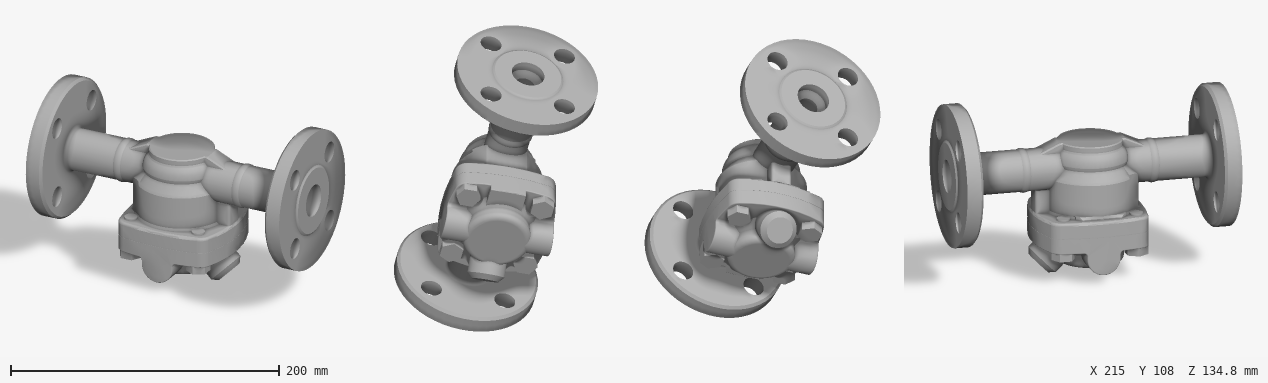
import cadquery as cq
import math

OVERALL_LENGTH = 215.0
HALF_LENGTH = OVERALL_LENGTH / 2

PIPE_RADIUS = 16.0
BEAD_OFFSET = 49.7
BEAD_WIDTH = 6.0
BEAD_HEIGHT = 0.8

FLANGE_DIAMETER = 108.0
FLANGE_THICKNESS = 14.2
FLANGE_CHAMFER = 2.0
RAISED_FACE_HEIGHT = 1.2
RAISED_FACE_RADIUS = 25.4
RAISED_FACE_BASE_RADIUS = 27.2
FLANGE_NECK_FILLET = 2.5
FLANGE_BOLT_CIRCLE = 79.4
FLANGE_HOLE_DIAMETER = 16.0

SOCKET_RADIUS = 12.5
SOCKET_DEPTH = 7.5
BORE_RADIUS = 7.5
BORE_CONE_LENGTH = 4.0
BORE_DEPTH = 60.0

AXIS_X = -3.0
CAP_TOP = 21.1
CAP_RADIUS = 24.8
CAP_ROUND = 0.8
CAP_FOOT = 16.5
COLLAR_TOP_RADIUS = 25.6
COLLAR_TOP = 15.2
COLLAR_RADIUS = 29.4
COLLAR_FOOT = 5.8
NECK_RADIUS = 28.6
NECK_Z = 3.0
SHOULDER_TOP = -4.1
SHOULDER_BOTTOM = -6.0
SHOULDER_ROUND = 1.0
BODY_RADIUS = 34.2
BODY_FOOT_FLARE = 1.6
INLET_NOSE_RADIUS = 36.4
INLET_NOSE_ANGLE = 90.0

TAB_REACH = 41.8
TAB_START = 25.4
TAB_WIDTH = 17.0
TAB_CHAMFER = 1.0
TAB_TIP_Z = 13.6

PLATE_TOP = -32.3
PLATE_SPLIT = -44.2
PLATE_BOTTOM = -56.3
PLATE_TOP_FILLET = 2.0
PLATE_CORNER_FILLET = 9.5
PLATE_HALF_DEPTH = 41.5
PLATE_LEFT = -42.9
PLATE_RIGHT = 42.3
CORNER_LEFT_X = -38.8
CORNER_RIGHT_X = 34.0
CORNER_Y = 36.9
GASKET_THICKNESS = 0.7
GASKET_INSET = 0.15

BOTTOM = -74.0
SUMP_RADIUS = 25.4
SUMP_FILLET = 4.5
SUMP_ROOT_RADIUS = 30.0
SUMP_ROOT_BOTTOM = -63.5
LOBE_RADIUS = 12.9
LOBE_ROOT_FILLET = 2.5
LUG_WIDTH = 27.0
LUG_BOTTOM = -61.6
COVER_EDGE_FILLET = 0.8

STUD_CIRCLE = 80.0
STUD_DIAMETER = 10.0
STUD_HEIGHT = 1.5
HEAD_ACROSS_FLATS = 16.0
HEAD_HEIGHT = 6.5
HEAD_CLEARANCE_RADIUS = 12.7

PLUG_RADIUS = 14.0
PLUG_CHAMFER = 4.0
PLUG_ANGLE = 45.0
PLUG_END_X = 36.7
LOWEST_POINT = -80.77
PLUG_LENGTH = 36.0

OUTLET_RIB_END = 41.0
OUTLET_RIB_WIDTH = 15.6
OUTLET_RIB_TOP = -15.0
OUTLET_RIB_FILLET = 2.0

BACK_PAD_Y = 35.6
BACK_PAD_HALF_WIDTH = 15.2
BACK_PAD_BEVEL = 4.2
BACK_PAD_TOP = -29.8
BACK_PAD_CHAMFER = 1.7


def revolve_about_x(outline):
    return outline.close().revolve(360, (0, 0, 0), (1, 0, 0))


def pipe_with_flange():
    """Outlet half (+X): pipe, weld bead, flange with raised face."""
    flange_back = HALF_LENGTH - FLANGE_THICKNESS
    flange_front = HALF_LENGTH - RAISED_FACE_HEIGHT
    flange_radius = FLANGE_DIAMETER / 2
    root = FLANGE_NECK_FILLET
    round_offset = root * (1 - math.sqrt(0.5))
    outline = (
        cq.Workplane("XZ")
        .moveTo(0, 0)
        .lineTo(0, PIPE_RADIUS)
        .lineTo(BEAD_OFFSET - BEAD_WIDTH / 2, PIPE_RADIUS)
        .threePointArc((BEAD_OFFSET, PIPE_RADIUS + BEAD_HEIGHT), (BEAD_OFFSET + BEAD_WIDTH / 2, PIPE_RADIUS))
        .lineTo(flange_back - root, PIPE_RADIUS)
        .threePointArc(
            (flange_back - round_offset, PIPE_RADIUS + round_offset),
            (flange_back, PIPE_RADIUS + root),
        )
        .lineTo(flange_back, flange_radius - FLANGE_CHAMFER)
        .lineTo(flange_back + FLANGE_CHAMFER, flange_radius)
        .lineTo(flange_front, flange_radius)
        .lineTo(flange_front, RAISED_FACE_BASE_RADIUS)
        .lineTo(HALF_LENGTH, RAISED_FACE_RADIUS)
        .lineTo(HALF_LENGTH, 0)
    )
    bolt_spacing = FLANGE_BOLT_CIRCLE / math.sqrt(2)
    holes = (
        cq.Workplane("YZ", origin=(flange_back, 0, 0))
        .rect(bolt_spacing, bolt_spacing, forConstruction=True)
        .vertices()
        .circle(FLANGE_HOLE_DIAMETER / 2)
        .extrude(FLANGE_THICKNESS)
    )
    return revolve_about_x(outline).cut(holes)


def socket_bore():
    """Stepped bore entering from the +X end."""
    cone_start = HALF_LENGTH - SOCKET_DEPTH
    return revolve_about_x(
        cq.Workplane("XZ")
        .moveTo(HALF_LENGTH, 0)
        .lineTo(HALF_LENGTH, SOCKET_RADIUS)
        .lineTo(cone_start, SOCKET_RADIUS)
        .lineTo(cone_start - BORE_CONE_LENGTH, BORE_RADIUS)
        .lineTo(HALF_LENGTH - BORE_DEPTH, BORE_RADIUS)
        .lineTo(HALF_LENGTH - BORE_DEPTH, 0)
    )


def both_ends(outlet_half):
    return outlet_half.union(outlet_half.mirror("YZ"))


def body_shell(radius, angle):
    """Body of revolution: cap, collar, shoulder and barrel of the given radius."""
    collar_rise = COLLAR_TOP - COLLAR_FOOT
    collar_step = COLLAR_RADIUS - COLLAR_TOP_RADIUS
    collar_arc = (collar_rise**2 + collar_step**2) / (2 * collar_step)
    half_sweep = math.asin(collar_rise / collar_arc) / 2
    collar_mid = (
        COLLAR_RADIUS - collar_arc * (1 - math.cos(half_sweep)),
        COLLAR_FOOT + collar_arc * math.sin(half_sweep),
    )
    outline = (
        cq.Workplane("XZ")
        .moveTo(0, CAP_TOP)
        .lineTo(CAP_RADIUS - CAP_ROUND, CAP_TOP)
        .lineTo(CAP_RADIUS, CAP_TOP - CAP_ROUND)
        .lineTo(CAP_RADIUS, CAP_FOOT)
        .lineTo(COLLAR_TOP_RADIUS, COLLAR_TOP)
        .threePointArc(collar_mid, (COLLAR_RADIUS, COLLAR_FOOT))
        .lineTo(NECK_RADIUS, NECK_Z)
        .lineTo(radius - SHOULDER_ROUND, SHOULDER_TOP)
        .tangentArcPoint((radius, SHOULDER_BOTTOM), relative=False)
        .lineTo(radius, PLATE_TOP + BODY_FOOT_FLARE)
        .lineTo(radius + BODY_FOOT_FLARE, PLATE_TOP)
        .lineTo(0, PLATE_TOP)
        .close()
    )
    return outline.revolve(angle, (0, 0, 0), (0, 1, 0))


def body():
    """Round body with a nose toward the inlet, bounded by two flats tangent to the barrel."""
    height = CAP_TOP - PLATE_TOP
    flats = (
        cq.Workplane("XY", origin=(0, 0, PLATE_TOP))
        .rect(2 * BODY_RADIUS, 2 * BODY_RADIUS)
        .extrude(height)
        .rotate((0, 0, 0), (0, 0, 1), INLET_NOSE_ANGLE / 2)
    )
    inlet_nose = (
        body_shell(INLET_NOSE_RADIUS, INLET_NOSE_ANGLE)
        .rotate((0, 0, 0), (0, 0, 1), 180 - INLET_NOSE_ANGLE / 2)
        .intersect(flats)
    )
    shell = body_shell(BODY_RADIUS, 360).union(inlet_nose)
    return shell.translate((AXIS_X, 0, 0))


def tabs():
    """Wedges running from the cap down onto the pipe, on both sides of the body."""
    slope = (CAP_TOP - TAB_TIP_Z) / (TAB_REACH - TAB_START)
    root_x = TAB_START + CAP_TOP / slope
    return (
        cq.Workplane("XZ", origin=(AXIS_X, TAB_WIDTH / 2, 0))
        .polyline([(-root_x, 0), (-TAB_START, CAP_TOP), (TAB_START, CAP_TOP), (root_x, 0)])
        .close()
        .extrude(TAB_WIDTH)
        .edges("#Y")
        .chamfer(TAB_CHAMFER)
    )


def plate_prism(bottom, top, inset=0.0):
    """Four bulging sides with rounded corners; the outlet side bulges most."""
    left_x = CORNER_LEFT_X + inset
    right_x = CORNER_RIGHT_X - inset
    corner_y = CORNER_Y - inset
    half_depth = PLATE_HALF_DEPTH - inset
    return (
        cq.Workplane("XY", origin=(0, 0, bottom))
        .moveTo(left_x, -corner_y)
        .threePointArc((AXIS_X, -half_depth), (right_x, -corner_y))
        .threePointArc((PLATE_RIGHT - inset, 0), (right_x, corner_y))
        .threePointArc((AXIS_X, half_depth), (left_x, corner_y))
        .threePointArc((PLATE_LEFT + inset, 0), (left_x, -corner_y))
        .close()
        .extrude(top - bottom)
        .edges("|Z")
        .fillet(PLATE_CORNER_FILLET)
    )


def body_flange():
    """Upper plate with a slightly recessed gasket under it."""
    gasket_top = PLATE_SPLIT + GASKET_THICKNESS / 2
    gasket_bottom = PLATE_SPLIT - GASKET_THICKNESS / 2
    gasket = plate_prism(gasket_bottom, gasket_top, GASKET_INSET)
    flange = plate_prism(gasket_top, PLATE_TOP).faces(">Z").edges().fillet(PLATE_TOP_FILLET)
    return flange.union(gasket)


def lobe_section():
    """Plate underside with a round-bottomed lobe blended into it, running along Y."""
    lobe_center = BOTTOM + LOBE_RADIUS
    blend = LOBE_ROOT_FILLET
    blend_offset = blend * (1 - math.sqrt(0.5))
    half_span = HALF_LENGTH
    return (
        cq.Workplane("XZ", origin=(AXIS_X, half_span, 0))
        .moveTo(-half_span, PLATE_SPLIT)
        .lineTo(-half_span, PLATE_BOTTOM)
        .lineTo(-LOBE_RADIUS - blend, PLATE_BOTTOM)
        .threePointArc(
            (-LOBE_RADIUS - blend_offset, PLATE_BOTTOM - blend_offset),
            (-LOBE_RADIUS, PLATE_BOTTOM - blend),
        )
        .lineTo(-LOBE_RADIUS, lobe_center)
        .threePointArc((0, BOTTOM), (LOBE_RADIUS, lobe_center))
        .lineTo(LOBE_RADIUS, PLATE_BOTTOM - blend)
        .threePointArc(
            (LOBE_RADIUS + blend_offset, PLATE_BOTTOM - blend_offset),
            (LOBE_RADIUS + blend, PLATE_BOTTOM),
        )
        .lineTo(half_span, PLATE_BOTTOM)
        .lineTo(half_span, PLATE_SPLIT)
        .close()
        .extrude(2 * half_span)
    )


def head_clearances():
    """Cylinders around the bolt heads that cut into the flared root of the sump."""
    spacing = STUD_CIRCLE / math.sqrt(2)
    return (
        cq.Workplane("XY", origin=(AXIS_X, 0, PLATE_BOTTOM))
        .rect(spacing, spacing, forConstruction=True)
        .vertices()
        .circle(HEAD_CLEARANCE_RADIUS)
        .extrude(BOTTOM - PLATE_BOTTOM)
    )


def cover():
    """Lower plate with the lobe, the round sump and the inlet side lug under it."""
    sump = (
        cq.Workplane("XY", origin=(AXIS_X, 0, BOTTOM))
        .circle(SUMP_RADIUS)
        .extrude(PLATE_SPLIT - BOTTOM)
        .faces("<Z")
        .edges()
        .fillet(SUMP_FILLET)
    )
    lug = (
        cq.Workplane("XY")
        .box(HALF_LENGTH, LUG_WIDTH, PLATE_SPLIT - LUG_BOTTOM, centered=(False, True, False))
        .translate((AXIS_X - HALF_LENGTH, 0, LUG_BOTTOM))
    )
    sump_root = (
        cq.Workplane("XZ")
        .moveTo(0, PLATE_BOTTOM)
        .lineTo(SUMP_ROOT_RADIUS, PLATE_BOTTOM)
        .lineTo(SUMP_RADIUS, SUMP_ROOT_BOTTOM)
        .lineTo(0, SUMP_ROOT_BOTTOM)
        .close()
        .revolve(360, (0, 0, 0), (0, 1, 0))
        .translate((AXIS_X, 0, 0))
        .cut(head_clearances())
    )
    underside = lobe_section().union(lug).union(sump)
    trimmed = plate_prism(BOTTOM, PLATE_SPLIT - GASKET_THICKNESS / 2).intersect(underside)
    core = plate_prism(BOTTOM, PLATE_SPLIT, inset=COVER_EDGE_FILLET / 2).val()
    rim_edges = [
        edge
        for edge in trimmed.edges().vals()
        if edge.BoundingBox().zmax < PLATE_BOTTOM + COVER_EDGE_FILLET
        and not core.isInside(edge.positionAt(0.5))
    ]
    return trimmed.newObject(rim_edges).fillet(COVER_EDGE_FILLET).union(sump_root)


def cover_bolts():
    """Four studs: hexagon heads below the cover, round ends above the body flange."""
    head_corner_diameter = HEAD_ACROSS_FLATS / math.cos(math.radians(30))
    stud_offset = STUD_CIRCLE / 2 / math.sqrt(2)
    position = (-stud_offset, -stud_offset)
    head = (
        cq.Workplane("XY", origin=(0, 0, PLATE_BOTTOM))
        .center(*position)
        .polygon(6, head_corner_diameter)
        .extrude(-HEAD_HEIGHT)
    )
    stud = (
        cq.Workplane("XY", origin=(0, 0, PLATE_BOTTOM))
        .center(*position)
        .circle(STUD_DIAMETER / 2)
        .extrude(PLATE_TOP + STUD_HEIGHT - PLATE_BOTTOM)
    )
    bolt = head.union(stud)
    bolts = cq.Workplane("XY")
    for quarter in range(4):
        bolts = bolts.union(bolt.rotate((0, 0, 0), (0, 0, 1), 90 * quarter))
    return bolts.translate((AXIS_X, 0, 0))


def drain_plug():
    """Chamfered cylinder leaving the sump downwards toward the outlet side."""
    slope = math.radians(PLUG_ANGLE)
    end_z = LOWEST_POINT + (PLUG_RADIUS - PLUG_CHAMFER) * math.cos(slope)
    end_plane = cq.Plane(
        origin=(PLUG_END_X, 0, end_z),
        xDir=(0, 1, 0),
        normal=(math.cos(slope), 0, -math.sin(slope)),
    )
    plug = cq.Workplane(end_plane).circle(PLUG_RADIUS).extrude(-PLUG_LENGTH)
    end_face = cq.selectors.NearestToPointSelector((PLUG_END_X, 0, end_z))
    return plug.faces(end_face).chamfer(PLUG_CHAMFER)


def outlet_rib():
    """Rounded block under the outlet pipe, standing on the body flange."""
    return (
        cq.Workplane("XY", origin=(AXIS_X, -OUTLET_RIB_WIDTH / 2, PLATE_TOP))
        .rect(OUTLET_RIB_END - AXIS_X, OUTLET_RIB_WIDTH, centered=False)
        .extrude(OUTLET_RIB_TOP - PLATE_TOP)
        .edges("|Z and >X")
        .fillet(OUTLET_RIB_FILLET)
    )


def back_pad():
    """Flat pad with bevelled sides on the +Y face of the body."""
    wide = BACK_PAD_HALF_WIDTH + BACK_PAD_BEVEL
    return (
        cq.Workplane("XY", origin=(AXIS_X, 0, PLATE_TOP))
        .polyline([
            (-wide, 0),
            (-wide, BACK_PAD_Y - BACK_PAD_BEVEL),
            (-BACK_PAD_HALF_WIDTH, BACK_PAD_Y),
            (BACK_PAD_HALF_WIDTH, BACK_PAD_Y),
            (wide, BACK_PAD_Y - BACK_PAD_BEVEL),
            (wide, 0),
        ])
        .close()
        .extrude(BACK_PAD_TOP - PLATE_TOP)
        .faces(">Y")
        .edges(">Z")
        .chamfer(BACK_PAD_CHAMFER)
    )


result = both_ends(pipe_with_flange())
features = (
    body(),
    tabs(),
    outlet_rib(),
    back_pad(),
    body_flange(),
    cover(),
    drain_plug(),
    cover_bolts(),
)
for feature in features:
    result = result.union(feature)
result = result.cut(both_ends(socket_bore()))